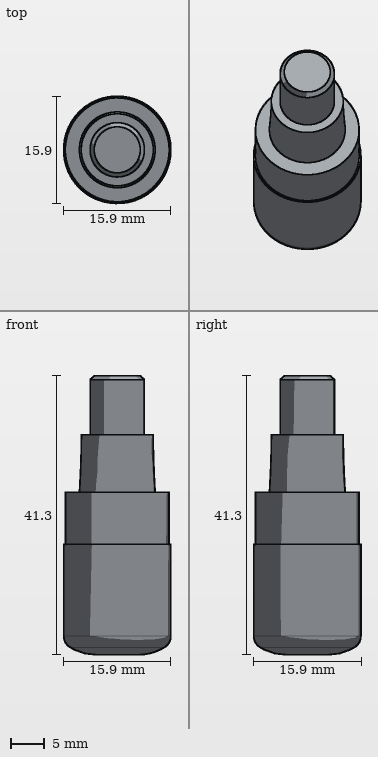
import cadquery as cq
import math

total_height = 41.25
edge_start = 2.8
cap_top = 16.35
collar_top = 24.05
neck_top = 32.55

cap_radius = 15.9 / 2
collar_radius = 7.67
neck_base_radius = 5.6
neck_middle_radius = 5.4
neck_top_radius = 5.32
pin_radius = 8.05 / 2

end_flat_radius = 3.1
edge_radius = 2.0
pin_chamfer_height = 0.58
pin_chamfer_width = 0.6


def make_cap():
    """Cylindrical cap whose wall turns through two tangent arcs into a small flat end."""
    edge_center = cap_radius - edge_radius
    arc_offset = edge_center - end_flat_radius
    crown_radius = (arc_offset**2 + edge_start**2 - edge_radius**2) / (2 * (edge_start - edge_radius))
    tangent_angle = math.asin(arc_offset / (crown_radius - edge_radius))

    def crown_point(angle):
        return (end_flat_radius + crown_radius * math.sin(angle), crown_radius * (1 - math.cos(angle)))

    edge_angle = (tangent_angle + math.pi / 2) / 2
    edge_middle = (
        edge_center + edge_radius * math.sin(edge_angle),
        edge_start - edge_radius * math.cos(edge_angle),
    )
    profile = (
        cq.Workplane("XZ")
        .moveTo(0, 0)
        .lineTo(end_flat_radius, 0)
        .threePointArc(crown_point(tangent_angle / 2), crown_point(tangent_angle))
        .threePointArc(edge_middle, (cap_radius, edge_start))
        .lineTo(cap_radius, cap_top)
        .lineTo(0, cap_top)
        .close()
    )
    return profile.revolve(360, (0, 0, 0), (0, 1, 0))


def make_spindle():
    """Stepped spindle: collar, slightly flared neck and chamfered end pin."""
    profile = (
        cq.Workplane("XZ")
        .moveTo(0, cap_top)
        .lineTo(collar_radius, cap_top)
        .lineTo(collar_radius, collar_top)
        .lineTo(neck_base_radius, collar_top)
        .threePointArc(
            (neck_middle_radius, (collar_top + neck_top) / 2),
            (neck_top_radius, neck_top),
        )
        .lineTo(pin_radius, neck_top)
        .lineTo(pin_radius, total_height - pin_chamfer_height)
        .lineTo(pin_radius - pin_chamfer_width, total_height)
        .lineTo(0, total_height)
        .close()
    )
    return profile.revolve(360, (0, 0, 0), (0, 1, 0))


cap = make_cap()
spindle = make_spindle()

result = cq.Compound.makeCompound([cap.val(), spindle.val()])